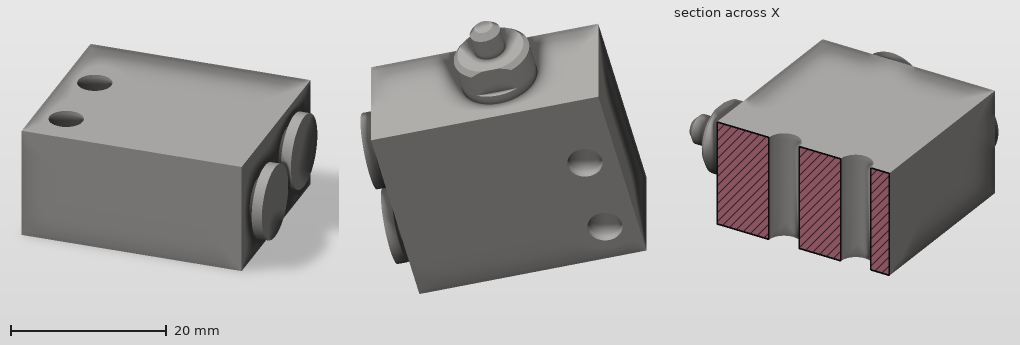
import cadquery as cq

body_x = 30.0
body_y = 26.0
body_z = 15.0

hole_diameter = 4.52
hole_x = 4.25
first_hole_y = 5.08
hole_spacing = 10.8

guide_x = 13.0
guide_diameter = 10.0
guide_length = 5.0
guide_chamfer = 0.63
flat_width = 8.5
flat_start = 1.32

plunger_diameter = 4.0
overall_y = 34.8
plunger_length = overall_y - body_y - guide_length
plunger_chamfer = 0.8

stem_diameter = 6.0
stem_length = 1.0
collar_diameter = 10.0
collar_length = 1.4
lower_fitting_y = 5.95
fitting_spacing = 11.0
upper_fitting_z = 2.0


def make_body():
    block = cq.Workplane("XY").box(body_x, body_y, body_z, centered=(False, False, True))
    hole_points = [(hole_x, first_hole_y), (hole_x, first_hole_y + hole_spacing)]
    holes = (
        cq.Workplane("XY")
        .pushPoints(hole_points)
        .circle(hole_diameter / 2)
        .extrude(body_z, both=True)
    )
    return block.cut(holes)


def cylinder_along_y(diameter, start_y, length):
    plane = cq.Workplane("XZ", origin=(guide_x, start_y, 0))
    return plane.circle(diameter / 2).extrude(-length)


def make_guide():
    guide = cylinder_along_y(guide_diameter, body_y, guide_length)
    guide = guide.faces(">Y").chamfer(guide_chamfer)
    base = cylinder_along_y(guide_diameter, body_y, flat_start)
    between_flats = cq.Workplane("XY").box(
        guide_diameter, guide_length, flat_width, centered=(True, False, True)
    ).translate((guide_x, body_y, 0))
    return guide.intersect(between_flats).union(base)


def make_plunger():
    plunger = cylinder_along_y(plunger_diameter, body_y + guide_length, plunger_length)
    return plunger.faces(">Y").chamfer(plunger_chamfer)


def make_fitting(y, z):
    stem = cq.Workplane("YZ", origin=(body_x, y, z)).circle(stem_diameter / 2).extrude(stem_length)
    return stem.faces(">X").workplane().circle(collar_diameter / 2).extrude(collar_length)


result = make_body().union(make_guide()).union(make_plunger())
result = result.union(make_fitting(lower_fitting_y, 0))
result = result.union(make_fitting(lower_fitting_y + fitting_spacing, upper_fitting_z))